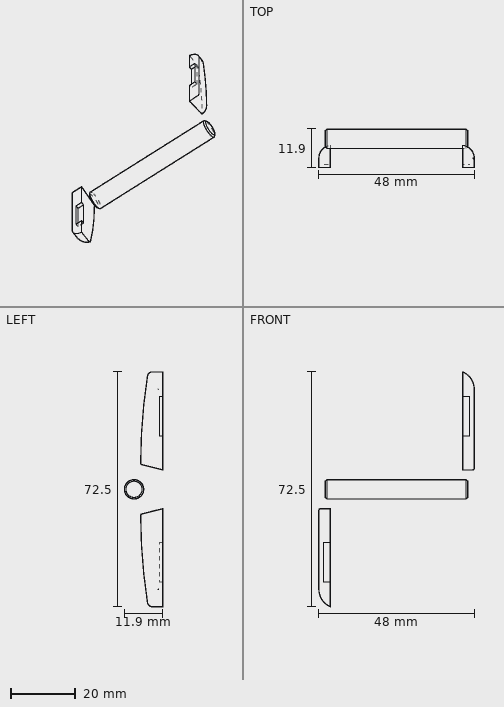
import cadquery as cq
import math

pin_length = 44.0
pin_diameter = 6.0
pin_chamfer = 0.5

overall_width = 48.0
overall_depth = 11.9
overall_height = 72.5
grip_thickness = 3.6
grip_height = 6.9
grip_shoulder_height = 4.5
grip_start = 5.95
grip_end_rise = 1.75
back_radius = 4.0
tip_radius = 5.95
shoulder_radius = 1.5
end_radius = 0.6

pocket_width = 2.1
pocket_depth = 1.0
pocket_length = 12.2
pocket_start = 16.4

outer_x = overall_width / 2
inner_x = outer_x - grip_thickness
base_y = pin_diameter / 2 - overall_depth
back_y = base_y + grip_height
tip_rise = math.sqrt(tip_radius**2 - (tip_radius - grip_thickness) ** 2)
tip_z = overall_height / 2 - tip_rise + tip_radius
heel_z = grip_start + grip_end_rise
blank_thickness = 3 * grip_thickness


def make_pin():
    return (
        cq.Workplane("YZ", origin=(-pin_length / 2, 0, 0))
        .circle(pin_diameter / 2)
        .extrude(pin_length)
        .faces("<X or >X")
        .chamfer(pin_chamfer)
    )


def make_grip_blank():
    """Bar with an arched back, wider than the grip so its roundings can run past the inner face."""
    arch_rise = tip_z - heel_z
    arch_drop = grip_height - grip_shoulder_height
    arch_radius = (arch_rise**2 + arch_drop**2) / (2 * arch_drop)
    mid_rise = arch_rise / 2
    mid_drop = arch_radius - math.sqrt(arch_radius**2 - mid_rise**2)
    return (
        cq.Workplane("YZ", origin=(outer_x - blank_thickness, 0, 0))
        .moveTo(base_y, grip_start)
        .lineTo(back_y, heel_z)
        .threePointArc((back_y - mid_drop, heel_z + mid_rise), (back_y - arch_drop, tip_z))
        .lineTo(base_y, tip_z)
        .close()
        .extrude(blank_thickness)
    )


def make_pocket():
    return (
        cq.Workplane("XY", origin=(inner_x, base_y, pocket_start))
        .box(pocket_width, pocket_depth, pocket_length, centered=False)
    )


def make_tip_waste():
    """Everything beyond the tip rounding, which is a quarter cylinder along Y."""
    start_z = tip_z - tip_radius
    mid_inset = tip_radius * (1 - math.sqrt(0.5))
    crest_x = outer_x - tip_radius
    waste_top = overall_height
    return (
        cq.Workplane("XZ")
        .moveTo(outer_x, start_z)
        .threePointArc((outer_x - mid_inset, tip_z - mid_inset), (crest_x, tip_z))
        .lineTo(crest_x, waste_top)
        .lineTo(outer_x, waste_top)
        .close()
        .extrude(overall_depth, both=True)
    )


def make_inner_waste():
    """Everything on the pin side of the inner face."""
    return (
        cq.Workplane("XY")
        .box(blank_thickness, 2 * overall_depth, 2 * overall_height)
        .translate((inner_x - blank_thickness / 2, 0, 0))
    )


def make_grip():
    nearest = cq.selectors.NearestToPointSelector
    back_edge = (outer_x, back_y, (heel_z + tip_z) / 2)
    end_edge = (outer_x, base_y, grip_start)

    grip = make_grip_blank()
    grip = grip.edges(nearest(back_edge)).fillet(back_radius)
    grip = grip.edges(nearest(end_edge)).fillet(end_radius)
    grip = grip.cut(make_tip_waste()).cut(make_inner_waste())

    shoulder_edge = (
        outer_x - grip_thickness / 2,
        base_y + grip_shoulder_height,
        tip_z - tip_radius / 2,
    )
    grip = grip.edges(nearest(shoulder_edge)).fillet(shoulder_radius)
    return grip.cut(make_pocket())


def make_grips():
    """The grips differ by half a turn about the Y axis."""
    grip = make_grip()
    grips = []
    for angle in (0, 180):
        grips.append(grip.rotate((0, 0, 0), (0, 1, 0), angle))
    return grips


pin = make_pin()
grips = make_grips()
result = cq.Compound.makeCompound([pin.val()] + [grip.val() for grip in grips])